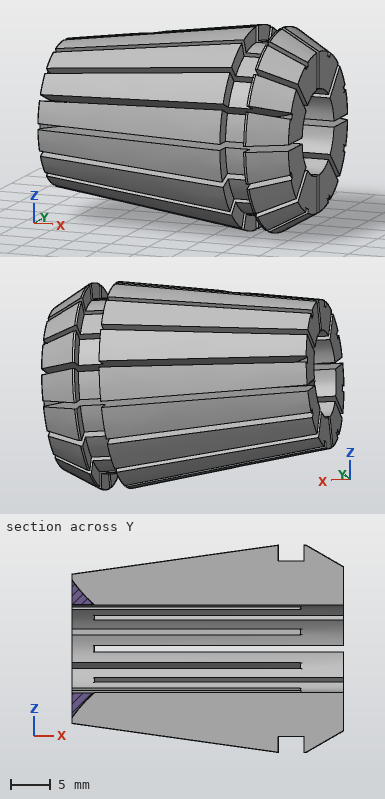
import cadquery as cq
import math

length = 34.0
max_radius = 13.0
bore_radius = 5.5

body_taper_angle = 8.0
nose_taper_angle = 30.0
groove_start = 25.85
groove_end = 29.05
groove_radius = 11.0
land_width = 0.27

slit_width = 0.78
slits_per_end = 8
slit_pitch = 360.0 / slits_per_end
saw_radius = 17.0
front_floor_radius = 8.65
back_floor_radius = 9.8
front_runout = 3.2
back_runout = 6.12
slit_overshoot = 0.35
bore_overlap = 0.35

land_end = groove_end + land_width
front_radius = max_radius - groove_start * math.tan(math.radians(body_taper_angle))
back_radius = max_radius - (length - land_end) * math.tan(math.radians(nose_taper_angle))


def make_body():
    """Revolve the half section about the X axis."""
    half_section = [
        (0, bore_radius),
        (0, front_radius),
        (groove_start, max_radius),
        (groove_start, groove_radius),
        (groove_end, groove_radius),
        (groove_end, max_radius),
        (land_end, max_radius),
        (length, back_radius),
        (length, bore_radius),
    ]
    return cq.Workplane("XY").polyline(half_section).close().revolve(360, (0, 0, 0), (1, 0, 0))


def make_slit(closed_end, open_end, floor_radius, runout):
    """Slit cutter above the axis: open at one end, with a hollow arc floor rising to the closed end."""
    direction = math.copysign(1, open_end - closed_end)
    outside_closed_end = closed_end - direction * slit_overshoot
    outside_open_end = open_end + direction * slit_overshoot
    outer_radius = max_radius + slit_overshoot
    inner_radius = bore_radius - bore_overlap

    drop = floor_radius - inner_radius
    chord = math.hypot(runout, drop)
    sag = saw_radius - math.sqrt(saw_radius**2 - (chord / 2) ** 2)
    floor_middle = (
        closed_end + direction * (runout / 2 - sag * drop / chord),
        floor_radius - drop / 2 - sag * runout / chord,
    )

    outline = cq.Workplane("XZ").moveTo(closed_end, floor_radius)
    outline = outline.threePointArc(floor_middle, (closed_end + direction * runout, inner_radius))
    outline = outline.lineTo(outside_open_end, inner_radius)
    outline = outline.lineTo(outside_open_end, outer_radius)
    outline = outline.lineTo(outside_closed_end, outer_radius)
    outline = outline.lineTo(outside_closed_end, floor_radius)
    return outline.close().extrude(slit_width / 2, both=True)


def cut_slits(body, slit, start_angle):
    """Repeat a slit around the axis."""
    for index in range(slits_per_end):
        angle = start_angle + index * slit_pitch
        body = body.cut(slit.rotate((0, 0, 0), (1, 0, 0), angle))
    return body


back_slit = make_slit(0, length, front_floor_radius, front_runout)
front_slit = make_slit(length, 0, back_floor_radius, back_runout)

result = make_body()
result = cut_slits(result, back_slit, 0)
result = cut_slits(result, front_slit, slit_pitch / 2)